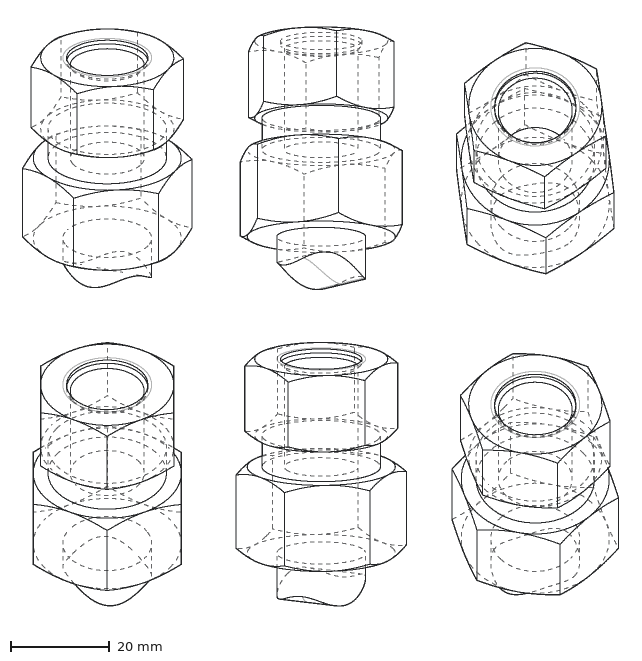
import cadquery as cq
import math

total_height = 49.6
upper_nut_height = 16.0
neck_length = 6.6
lower_nut_height = 18.0
tube_length = total_height - upper_nut_height - neck_length - lower_nut_height

upper_nut_width = 27.0
lower_nut_width = 30.0
neck_diameter = 24.0
tube_diameter = 18.0
bore_diameter = 15.0
counterbore_diameter = 16.45

hex_sides = 6
full_turn = 360.0
hex_half_angle = full_turn / (2 * hex_sides)
corner_turn = full_turn / 4

nut_chamfer_angle = 30.0

mouth_chamfer_depth = 0.025
counterbore_depth = 0.85
seat_depth = (counterbore_diameter - bore_diameter) / 2
bore_depth = upper_nut_height + neck_length

wave_height = 3.95
wave_peak_offset = 5.05

tube_radius = tube_diameter / 2
lower_nut_bottom = tube_length
neck_bottom = lower_nut_bottom + lower_nut_height
upper_nut_bottom = neck_bottom + neck_length


def hex_nut(width, height, bottom):
    """Hexagonal prism with corners on the Y axis and both ends chamfered."""
    flat_radius = width / 2
    corner_radius = flat_radius / math.cos(math.radians(hex_half_angle))
    chamfer_height = (corner_radius - flat_radius) * math.tan(math.radians(nut_chamfer_angle))
    prism = (
        cq.Workplane("XY", origin=(0, 0, bottom))
        .polygon(hex_sides, 2 * corner_radius)
        .extrude(height)
        .rotate((0, 0, 0), (0, 0, 1), corner_turn)
    )
    envelope = (
        cq.Workplane("XZ")
        .moveTo(0, bottom)
        .lineTo(flat_radius, bottom)
        .lineTo(corner_radius, bottom + chamfer_height)
        .lineTo(corner_radius, bottom + height - chamfer_height)
        .lineTo(flat_radius, bottom + height)
        .lineTo(0, bottom + height)
        .close()
        .revolve(full_turn, (0, 0, 0), (0, 1, 0))
    )
    return prism.intersect(envelope)


def cylinder(diameter, bottom, top):
    """Upright cylinder on the part axis between two heights."""
    return cq.Workplane("XY", origin=(0, 0, bottom)).circle(diameter / 2).extrude(top - bottom)


def tube_end():
    """Solid tube whose lower end follows an S-shaped wave running along Y."""
    middle = wave_height / 2
    outline = (
        cq.Workplane("YZ")
        .moveTo(-tube_radius, lower_nut_bottom)
        .lineTo(-tube_radius, middle)
        .spline(
            [(-wave_peak_offset, wave_height), (0, middle), (wave_peak_offset, 0), (tube_radius, middle)],
            includeCurrent=True,
        )
        .lineTo(tube_radius, lower_nut_bottom)
        .close()
        .extrude(tube_radius, both=True)
    )
    return cylinder(tube_diameter, 0, lower_nut_bottom).intersect(outline)


def bore():
    """Blind bore with a shallow chamfered mouth, a short counterbore and a conical seat."""
    counterbore_floor = total_height - counterbore_depth
    return (
        cq.Workplane("XZ")
        .moveTo(0, total_height)
        .lineTo(tube_radius, total_height)
        .lineTo(counterbore_diameter / 2, total_height - mouth_chamfer_depth)
        .lineTo(counterbore_diameter / 2, counterbore_floor)
        .lineTo(bore_diameter / 2, counterbore_floor - seat_depth)
        .lineTo(bore_diameter / 2, total_height - bore_depth)
        .lineTo(0, total_height - bore_depth)
        .close()
        .revolve(full_turn, (0, 0, 0), (0, 1, 0))
    )


result = (
    tube_end()
    .union(hex_nut(lower_nut_width, lower_nut_height, lower_nut_bottom))
    .union(cylinder(neck_diameter, neck_bottom, upper_nut_bottom))
    .union(hex_nut(upper_nut_width, upper_nut_height, upper_nut_bottom))
    .cut(bore())
)